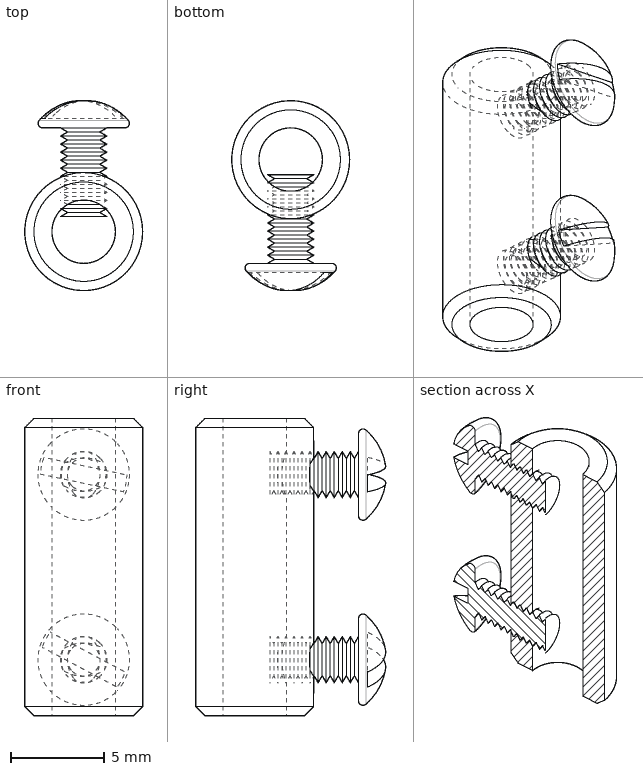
import cadquery as cq
import math

sleeve_diameter = 6.35
sleeve_length = 16.0
bore_diameter = 3.4
sleeve_chamfer = 0.5

screw_end_distance = 3.025
screw_heights = (screw_end_distance, sleeve_length - screw_end_distance)
slot_angles = (28.0, 12.0)

thread_diameter = 2.5
thread_length = 4.7625
ridge_count = 11
thread_flank_angle = 60.0
thread_pitch = thread_length / ridge_count
thread_depth = thread_pitch / 2 / math.tan(math.radians(thread_flank_angle / 2))
crest_radius = thread_diameter / 2
root_radius = crest_radius - thread_depth

head_seat_y = 5.575
head_diameter = 4.92
rim_radius = 0.25
dome_edge_angle = 49.0
slot_width = 0.92
slot_floor_height = 0.5


def make_sleeve():
    tube = cq.Workplane("XY").circle(sleeve_diameter / 2).extrude(sleeve_length)
    tube = tube.faces("<Z or >Z").chamfer(sleeve_chamfer)
    bore = cq.Workplane("XY").circle(bore_diameter / 2).extrude(sleeve_length)
    return tube.cut(bore)


def make_thread():
    """Threaded shank, with the underside of the head at Y = 0 and the tip at -Y."""
    profile = cq.Workplane("XY").lineTo(crest_radius, 0)
    for ridge in range(ridge_count):
        root_y = -(ridge + 0.5) * thread_pitch
        crest_y = -(ridge + 1) * thread_pitch
        profile = profile.lineTo(root_radius, root_y).lineTo(crest_radius, crest_y)
    profile = profile.lineTo(0, -thread_length).close()
    return profile.revolve(360, (0, 0, 0), (0, 1, 0))


def make_head():
    """Domed head resting on Y = 0, before its slot is cut."""
    edge_angle = math.radians(dome_edge_angle)
    rim_center_x = head_diameter / 2 - rim_radius
    dome_radius = rim_radius + rim_center_x / math.sin(edge_angle)
    dome_center_y = rim_radius - rim_center_x / math.tan(edge_angle)

    def dome_point(angle):
        return (dome_radius * math.sin(angle), dome_center_y + dome_radius * math.cos(angle))

    profile = (
        cq.Workplane("XY")
        .lineTo(rim_center_x, 0)
        .threePointArc((head_diameter / 2, rim_radius), dome_point(edge_angle))
        .threePointArc(dome_point(edge_angle / 2), dome_point(0))
        .close()
    )
    return profile.revolve(360, (0, 0, 0), (0, 1, 0))


def make_screw(slot_angle):
    slot = (
        cq.Workplane("XY")
        .box(head_diameter, head_diameter, slot_width, centered=(True, False, True))
        .translate((0, slot_floor_height, 0))
        .rotate((0, 0, 0), (0, 1, 0), slot_angle)
    )
    return make_thread().union(make_head()).cut(slot)


sleeve = make_sleeve()
screws = []
for height, slot_angle in zip(screw_heights, slot_angles):
    screw = make_screw(slot_angle).translate((0, head_seat_y, height))
    sleeve = sleeve.cut(screw)
    screws.append(screw)

result = cq.Compound.makeCompound([sleeve.solids().val(), *[screw.solids().val() for screw in screws]])